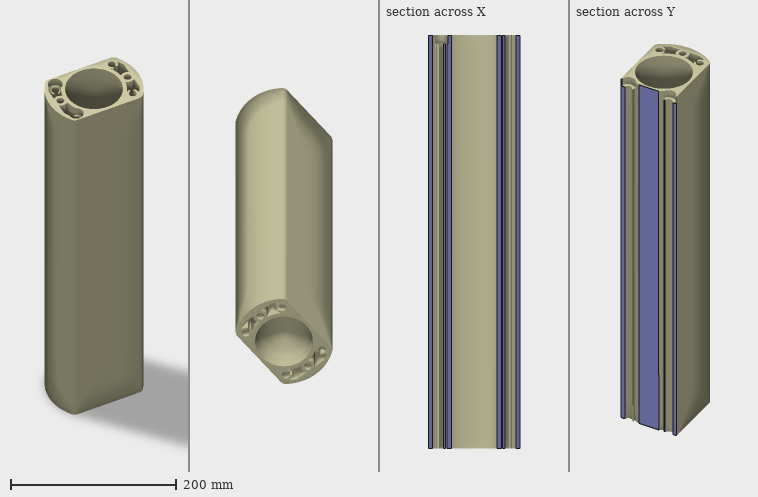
import cadquery as cq
import math

length = 500.0
width = 78.0
outer_diameter = 120.0
edge_fillet = 8.0

bore_diameter = 70.0
bore_wall = 5.0
outer_wall = 5.0
chamber_flat_y = 51.0
chamber_floor_y = 33.5

screw_diameter = 9.5
centre_boss_diameter = 17.0
centre_screw_y = 45.5
corner_boss_diameter = 15.0
corner_screw_x = 28.25
corner_screw_y = 38.25
slot_width = 4.5
slot_overrun = 2.5
slot_angle = 15.0

counterbore_diameter = 18.0
counterbore_depth = 10.0


def cylinder(diameter, x=0.0, y=0.0):
    return cq.Workplane("XY").center(x, y).circle(diameter / 2).extrude(length)


def outer_body():
    flats = cq.Workplane("XY").box(width, outer_diameter, length, centered=(True, True, False))
    return cylinder(outer_diameter).intersect(flats).edges("|Z").fillet(edge_fillet)


def corner_slot(side):
    slot_length = corner_boss_diameter / 2 + slot_overrun
    angle = math.radians(slot_angle)
    middle_x = corner_screw_x - slot_length / 2 * math.cos(angle)
    middle_y = corner_screw_y + slot_length / 2 * math.sin(angle)
    return (
        cq.Workplane("XY")
        .center(side * middle_x, middle_y)
        .transformed(rotate=(0, 0, -side * slot_angle))
        .rect(slot_length, slot_width)
        .extrude(length)
    )


def chamber():
    """Open space at the +Y end, including its screw channels."""
    chamber_width = 2 * corner_screw_x
    chamber_height = chamber_flat_y - chamber_floor_y
    block = (
        cq.Workplane("XY")
        .center(0, chamber_floor_y + chamber_height / 2)
        .rect(chamber_width, chamber_height)
        .extrude(length)
    )
    space = cylinder(outer_diameter - 2 * outer_wall).intersect(block)
    space = space.cut(cylinder(bore_diameter + 2 * bore_wall))
    space = space.cut(cylinder(centre_boss_diameter, y=centre_screw_y))
    space = space.union(cylinder(screw_diameter, y=centre_screw_y))
    for side in (-1, 1):
        screw_x = side * corner_screw_x
        space = space.cut(cylinder(corner_boss_diameter, screw_x, corner_screw_y))
        space = space.union(cylinder(screw_diameter, screw_x, corner_screw_y))
        space = space.union(corner_slot(side))
    return space


def counterbores():
    return (
        cq.Workplane("XY")
        .workplane(offset=length - counterbore_depth)
        .pushPoints([(side * corner_screw_x, -corner_screw_y) for side in (-1, 1)])
        .circle(counterbore_diameter / 2)
        .extrude(counterbore_depth)
    )


end_chamber = chamber()
profile = outer_body().cut(cylinder(bore_diameter))
profile = profile.cut(end_chamber).cut(end_chamber.mirror("XZ"))
profile = profile.cut(counterbores())
result = profile.translate((0, 0, -length / 2))